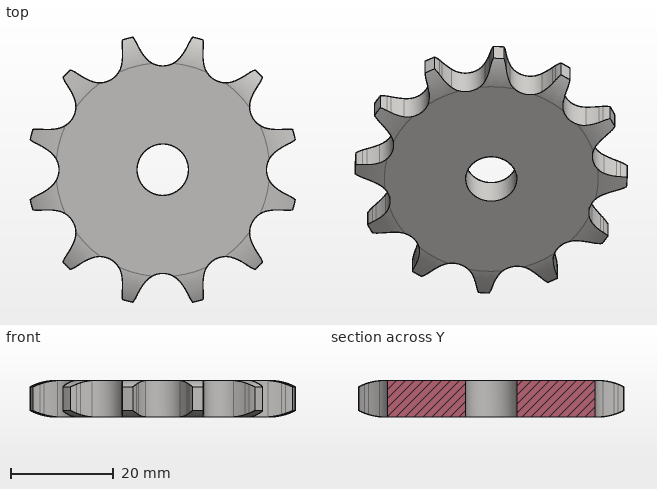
import cadquery as cq
import math

overall_width = 51.7
tooth_count = 12
pitch_radius = 24.55
roller_diameter = 8.55
seat_clearance = 0.038
bore_diameter = 10.0
thickness = 7.2
tip_thickness = 4.6
face_radius = 20.85

tooth_angle = 360 / tooth_count
seat_angle = math.radians(35 + 60 / tooth_count)
working_sweep = math.radians(18 - 56 / tooth_count)
topping_angle = math.radians(17 - 64 / tooth_count)
flank_angle = seat_angle - working_sweep
seat_radius = 0.5025 * roller_diameter + seat_clearance
working_offset = 0.8 * roller_diameter
topping_offset = 1.4 * roller_diameter
working_radius = seat_radius + working_offset
flank_length = topping_offset * math.sin(topping_angle) - working_offset * math.sin(working_sweep)
topping_radius = (
    working_offset * math.cos(working_sweep)
    + topping_offset * math.cos(topping_angle)
    - working_radius
)


def polar(center, radius, angle):
    """Point at the given radius and angle (radians) from a center."""
    return (center[0] + radius * math.cos(angle), center[1] + radius * math.sin(angle))


def mirrored(point):
    """Mirror image of a point across the Y axis."""
    return (-point[0], point[1])


roller_center = (0, pitch_radius)
root = (0, pitch_radius - seat_radius)
seat_end = polar(roller_center, seat_radius, -seat_angle)

working_center = polar(roller_center, working_offset, math.pi - seat_angle)
working_mid = polar(working_center, working_radius, -(seat_angle + flank_angle) / 2)
working_end = polar(working_center, working_radius, -flank_angle)

flank_end = polar(working_end, flank_length, math.pi / 2 - flank_angle)
topping_center = polar(flank_end, topping_radius, -flank_angle)

tip_direction = math.pi - math.asin((overall_width / 2 - topping_center[1]) / topping_radius)
topping_mid = polar(topping_center, topping_radius, (tip_direction + math.pi - flank_angle) / 2)
tip = polar(topping_center, topping_radius, tip_direction)
tip_radius = math.hypot(*tip)


def tooth_gap():
    """Cutter for the gap on the +Y axis, closed by an arc clear of the tip circle."""
    above_tips = (0, tip_radius + seat_radius)
    return (
        cq.Workplane("XY")
        .workplane(offset=-thickness / 2)
        .moveTo(*mirrored(seat_end))
        .threePointArc(root, seat_end)
        .threePointArc(working_mid, working_end)
        .lineTo(*flank_end)
        .threePointArc(topping_mid, tip)
        .threePointArc(above_tips, mirrored(tip))
        .threePointArc(mirrored(topping_mid), mirrored(flank_end))
        .lineTo(*mirrored(working_end))
        .threePointArc(mirrored(working_mid), mirrored(seat_end))
        .close()
        .extrude(thickness)
    )


def blank():
    """Bored disc whose faces curve in, tangentially, from the flat face to the thinner tips."""
    half = thickness / 2
    half_tip = tip_thickness / 2
    face_drop = half - half_tip
    rim_width = tip_radius - face_radius
    rim_radius = (rim_width**2 + face_drop**2) / (2 * face_drop)
    rim_sweep = math.asin(rim_width / rim_radius)
    rim_mid = polar((face_radius, half - rim_radius), rim_radius, (math.pi - rim_sweep) / 2)

    bore_radius = bore_diameter / 2
    return (
        cq.Workplane("XZ")
        .moveTo(bore_radius, -half)
        .lineTo(face_radius, -half)
        .threePointArc((rim_mid[0], -rim_mid[1]), (tip_radius, -half_tip))
        .lineTo(tip_radius, half_tip)
        .threePointArc(rim_mid, (face_radius, half))
        .lineTo(bore_radius, half)
        .close()
        .revolve(360, (0, 0, 0), (0, 1, 0))
    )


sprocket = blank()
gap = tooth_gap()
for index in range(tooth_count):
    sprocket = sprocket.cut(gap.rotate((0, 0, 0), (0, 0, 1), index * tooth_angle))

result = sprocket